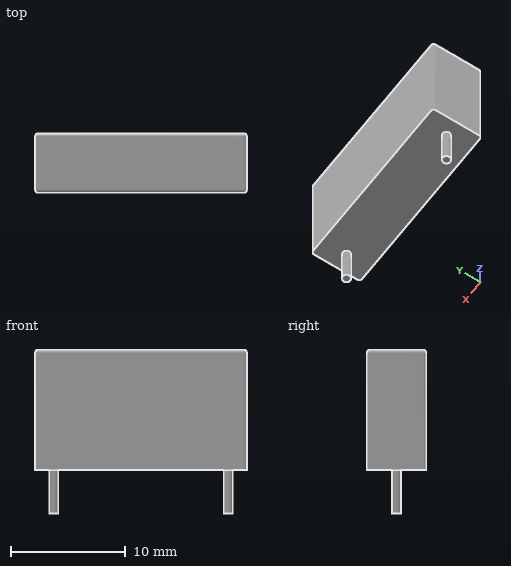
import cadquery as cq

body_length = 18.5
body_width = 5.2
body_height = 10.5
edge_radius = 0.3

total_height = 14.3
lead_length = total_height - body_height
lead_diameter = 0.8
lead_pitch = 15.2


def make_body():
    """Box with rounded upright and top edges and a sharp bottom rim."""
    box = cq.Workplane("XY").box(body_length, body_width, body_height, centered=(True, True, False))
    return box.edges("|Z or >Z").fillet(edge_radius)


def make_lead(x):
    """Straight lead that butts against the underside of the body."""
    return cq.Workplane("XY").center(x, 0).circle(lead_diameter / 2).extrude(-lead_length)


body = make_body()
leads = [make_lead(side * lead_pitch / 2) for side in (-1, 1)]

result = cq.Compound.makeCompound([body.val(), *[lead.val() for lead in leads]])